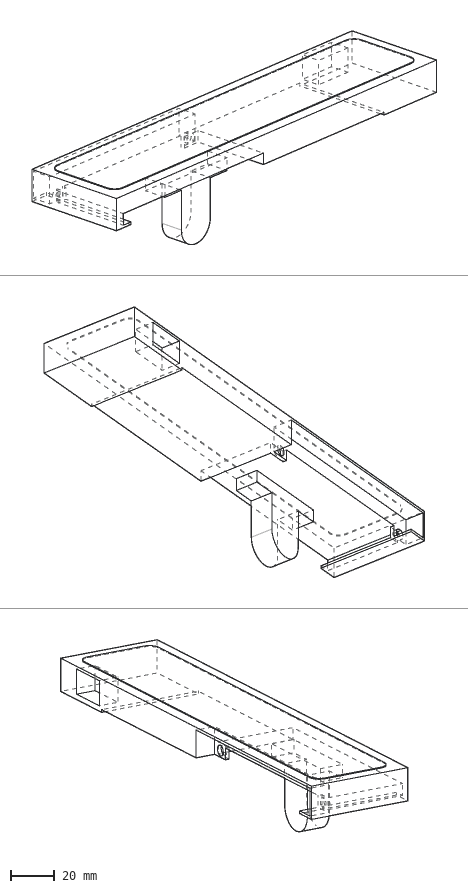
import cadquery as cq

length = 220.0
width = 52.0
foot_bottom = -16.0
sheet = 1.3
body_bottom = foot_bottom + sheet
x_left = -width / 2
x_right = width / 2
y_front = -length / 2
y_back = length / 2
foot_front = 74.0

panel_margin = 6.0
panel_height = 0.5
panel_radius = 5.0

window_front = 76.0
window_back = 96.0
window_bottom = -13.5
window_depth = 10.0

recess_back = -9.0
recess_depth = 10.0
beam_left = x_left + recess_depth
beam_bottom = -9.0
rear_tab_front = -18.5
front_tab_back = -99.9
tab_thickness = 2.0
hole_diameter = 5.0
hole_z = -11.5
rear_hole_y = -14.0
front_hole_y = -104.3
end_wall = 1.0
end_block = 4.8

arm_left = 5.3
arm_right = 17.2
arm_y = -45.5
arm_width = 20.0
arm_bottom = panel_height - 45.5
head_length = 42.7
head_bottom = -15.5


def box(x0, x1, y0, y1, z0, z1):
    """Box between two limits along each axis."""
    return cq.Workplane("XY").box(x1 - x0, y1 - y0, z1 - z0, centered=False).translate((x0, y0, z0))


def make_housing():
    top = box(x_left, x_right, y_front, y_back, -sheet, 0)
    rear_body = box(x_left, x_right, recess_back, y_back, body_bottom, 0)
    foot = box(x_left, x_right, foot_front, y_back, foot_bottom, body_bottom)
    window = box(x_left, x_left + window_depth, window_front, window_back, window_bottom, -sheet)
    beam = box(beam_left, x_right, y_front + end_wall, recess_back, beam_bottom, 0)
    return top.union(rear_body).union(foot).cut(window).union(beam)


def make_front_end():
    """End wall, bottom flange and the thicker block behind the front tab."""
    wall = box(x_left, x_right, y_front, y_front + end_wall, foot_bottom, 0)
    flange = box(x_left, x_right, y_front, front_tab_back, foot_bottom, body_bottom)
    block = box(
        beam_left + tab_thickness, x_right, y_front + end_wall, y_front + end_block, foot_bottom, 0
    )
    return wall.union(flange).union(block)


def make_tab(y0, y1, hole_y):
    """Thin tab below the beam, drilled along X."""
    tab = box(beam_left, beam_left + tab_thickness, y0, y1, body_bottom, beam_bottom)
    hole = (
        cq.Workplane("YZ", origin=(beam_left, hole_y, hole_z))
        .circle(hole_diameter / 2)
        .extrude(tab_thickness)
    )
    return tab.cut(hole)


def make_arm():
    """Round-ended arm hanging from a wider head under the beam."""
    radius = arm_width / 2
    arc_z = arm_bottom + radius
    stem = (
        cq.Workplane("YZ", origin=(arm_left, 0, 0))
        .moveTo(arm_y - radius, beam_bottom)
        .lineTo(arm_y - radius, arc_z)
        .threePointArc((arm_y, arm_bottom), (arm_y + radius, arc_z))
        .lineTo(arm_y + radius, beam_bottom)
        .close()
        .extrude(arm_right - arm_left)
    )
    half_head = head_length / 2
    head = box(arm_left, arm_right, arm_y - half_head, arm_y + half_head, head_bottom, beam_bottom)
    return stem.union(head)


def make_panel():
    return (
        cq.Workplane("XY")
        .rect(width - 2 * panel_margin, length - 2 * panel_margin)
        .extrude(panel_height)
        .edges("|Z")
        .fillet(panel_radius)
    )


result = (
    make_housing()
    .union(make_front_end())
    .union(make_tab(rear_tab_front, recess_back, rear_hole_y))
    .union(make_tab(y_front + end_wall, front_tab_back, front_hole_y))
    .union(make_arm())
    .union(make_panel())
    .clean()
)